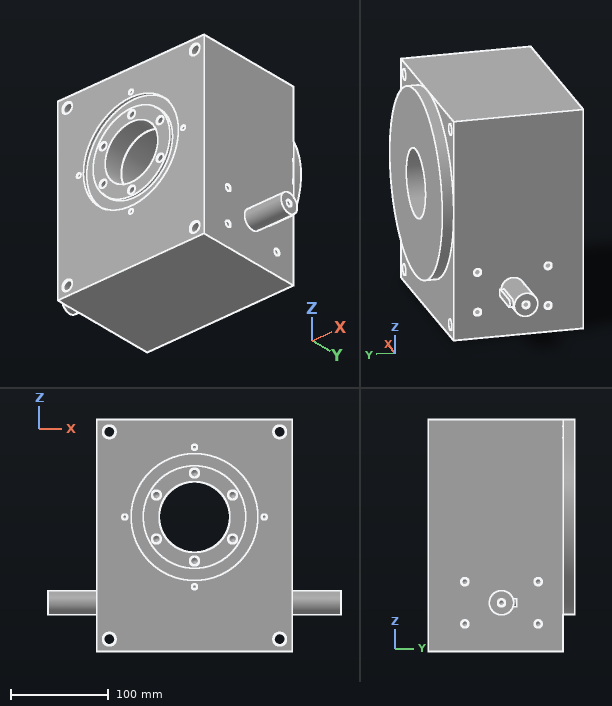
import cadquery as cq
import math

HOUSING_WIDTH = 200.0
HOUSING_HEIGHT = 238.0
TOTAL_DEPTH = 150.0
FLANGE_THICKNESS = 12.0
HOUSING_DEPTH = TOTAL_DEPTH - FLANGE_THICKNESS

FLANGE_DIAMETER = HOUSING_WIDTH
HUB_DIAMETER = 105.0
HUB_FACE_Y = 1.0
HUB_Z = HOUSING_HEIGHT - FLANGE_DIAMETER / 2
BORE_DIAMETER = 72.0
REAR_BORE_DIAMETER = 73.0
REAR_BORE_Y = 26.0
SEAL_RECESS_DIAMETER = 130.0
SEAL_RECESS_DEPTH = 5.0

HUB_SCREW_COUNT = 6
HUB_SCREW_RADIUS = 45.0
HUB_SCREW_DIAMETER = 8.5
HUB_SCREW_MOUTH = 10.0
HUB_SCREW_DEPTH = 18.0
COVER_HOLE_COUNT = 4
COVER_HOLE_RADIUS = 71.5
COVER_HOLE_DIAMETER = 4.8
COVER_HOLE_MOUTH = 6.0
COVER_HOLE_DEPTH = 12.0

CORNER_INSET = 13.0
CORNER_HOLE_DIAMETER = 11.7
CORNER_MOUTH_DIAMETER = 13.8

SHAFT_LENGTH = 300.0
SHAFT_DIAMETER = 25.0
SHAFT_Y = TOTAL_DEPTH / 2
SHAFT_Z = 50.0
CENTRE_HOLE_DIAMETER = 6.5
CENTRE_HOLE_MOUTH = 8.0
CENTRE_HOLE_DEPTH = 15.0

KEY_LENGTH = 40.0
KEY_WIDTH = 8.0
KEY_END_GAP = 5.0
KEY_TOP = 15.5

SIDE_HOLE_DIAMETER = 6.5
SIDE_HOLE_MOUTH = 8.0
SIDE_HOLE_DEPTH = 15.0
SIDE_HOLE_Y_OFFSET = 37.5
SIDE_HOLE_Z_OFFSET = 21.5

DRILL_TIP_ANGLE = 118.0


def cylinder_y(diameter, y_start, y_end, x=0, z=0):
    """Cylinder along +y between two y positions."""
    return cq.Workplane(cq.Solid.makeCylinder(
        diameter / 2, y_end - y_start, cq.Vector(x, y_start, z), cq.Vector(0, 1, 0)))


def countersink(mouth, diameter, entry, direction):
    """45 degree cone that narrows from the mouth diameter to the hole diameter."""
    cone_depth = (mouth - diameter) / 2
    return cq.Solid.makeCone(
        mouth / 2, diameter / 2, cone_depth, cq.Vector(*entry), cq.Vector(*direction))


def drilled_hole(diameter, mouth, depth, entry, direction):
    """Blind hole with a chamfered mouth and a drill tip, starting at entry and running along direction."""
    radius = diameter / 2
    start = cq.Vector(*entry)
    axis = cq.Vector(*direction)
    tip_length = radius / math.tan(math.radians(DRILL_TIP_ANGLE / 2))
    barrel = cq.Solid.makeCylinder(radius, depth, start, axis)
    tip = cq.Solid.makeCone(radius, 0, tip_length, start + axis * depth, axis)
    return cq.Workplane(barrel.fuse(tip, countersink(mouth, diameter, entry, direction)))


def circle_positions(count, radius):
    """(x, z) positions evenly spaced around the hub axis, the first one at the top."""
    angles = [math.radians(90 + 360 * i / count) for i in range(count)]
    return [(radius * math.cos(a), HUB_Z + radius * math.sin(a)) for a in angles]


def make_housing():
    body = cq.Workplane().box(HOUSING_WIDTH, HOUSING_DEPTH, HOUSING_HEIGHT, centered=(True, False, False))

    body = body.cut(cylinder_y(HUB_DIAMETER, 0, HOUSING_DEPTH, z=HUB_Z))
    body = body.cut(cylinder_y(SEAL_RECESS_DIAMETER, 0, SEAL_RECESS_DEPTH, z=HUB_Z))

    for x, z in circle_positions(COVER_HOLE_COUNT, COVER_HOLE_RADIUS):
        body = body.cut(drilled_hole(
            COVER_HOLE_DIAMETER, COVER_HOLE_MOUTH, COVER_HOLE_DEPTH, (x, 0, z), (0, 1, 0)))

    corner_x = HOUSING_WIDTH / 2 - CORNER_INSET
    for x in (-corner_x, corner_x):
        for z in (CORNER_INSET, HOUSING_HEIGHT - CORNER_INSET):
            body = body.cut(cylinder_y(CORNER_HOLE_DIAMETER, 0, HOUSING_DEPTH, x, z))
            body = body.cut(cq.Workplane(countersink(
                CORNER_MOUTH_DIAMETER, CORNER_HOLE_DIAMETER, (x, 0, z), (0, 1, 0))))

    for side in (-1, 1):
        for y in (SHAFT_Y - SIDE_HOLE_Y_OFFSET, SHAFT_Y + SIDE_HOLE_Y_OFFSET):
            for z in (SHAFT_Z - SIDE_HOLE_Z_OFFSET, SHAFT_Z + SIDE_HOLE_Z_OFFSET):
                entry = (side * HOUSING_WIDTH / 2, y, z)
                body = body.cut(drilled_hole(
                    SIDE_HOLE_DIAMETER, SIDE_HOLE_MOUTH, SIDE_HOLE_DEPTH, entry, (-side, 0, 0)))

    return body.cut(shaft_bar(HOUSING_WIDTH))


def make_hub():
    hub = cylinder_y(HUB_DIAMETER, HUB_FACE_Y, HOUSING_DEPTH, z=HUB_Z)
    hub = hub.union(cylinder_y(FLANGE_DIAMETER, HOUSING_DEPTH, TOTAL_DEPTH, z=HUB_Z))

    hub = hub.cut(cylinder_y(BORE_DIAMETER, HUB_FACE_Y, TOTAL_DEPTH, z=HUB_Z))
    hub = hub.cut(cylinder_y(REAR_BORE_DIAMETER, REAR_BORE_Y, TOTAL_DEPTH, z=HUB_Z))

    for x, z in circle_positions(HUB_SCREW_COUNT, HUB_SCREW_RADIUS):
        entry = (x, HUB_FACE_Y, z)
        hub = hub.cut(drilled_hole(HUB_SCREW_DIAMETER, HUB_SCREW_MOUTH, HUB_SCREW_DEPTH, entry, (0, 1, 0)))
    return hub


def shaft_bar(length):
    """Plain round bar on the shaft axis, centred on x = 0."""
    return cq.Workplane(cq.Solid.makeCylinder(
        SHAFT_DIAMETER / 2, length, cq.Vector(-length / 2, SHAFT_Y, SHAFT_Z), cq.Vector(1, 0, 0)))


def make_shaft():
    shaft = shaft_bar(SHAFT_LENGTH)
    key_x = SHAFT_LENGTH / 2 - KEY_END_GAP - KEY_LENGTH / 2
    for side in (-1, 1):
        key = (
            cq.Workplane("XZ", origin=(side * key_x, SHAFT_Y, SHAFT_Z))
            .slot2D(KEY_LENGTH, KEY_WIDTH)
            .extrude(-KEY_TOP)
        )
        shaft = shaft.union(key)

    for side in (-1, 1):
        entry = (side * SHAFT_LENGTH / 2, SHAFT_Y, SHAFT_Z)
        shaft = shaft.cut(drilled_hole(
            CENTRE_HOLE_DIAMETER, CENTRE_HOLE_MOUTH, CENTRE_HOLE_DEPTH, entry, (-side, 0, 0)))
    return shaft


housing = make_housing().solids()
hub = make_hub().solids()
shaft = make_shaft().solids()

result = cq.Compound.makeCompound([housing.val(), hub.val(), shaft.val()])